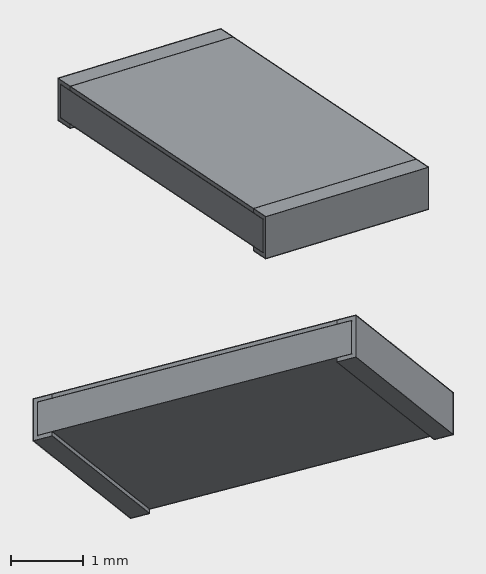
import cadquery as cq

LENGTH = 5.1
WIDTH = 2.7
HEIGHT = 0.65

CAP_THICKNESS = 0.065
CAP_REACH = 0.3

CORE_LENGTH = LENGTH - 2 * CAP_THICKNESS
CORE_HEIGHT = HEIGHT - 2 * CAP_THICKNESS
COATING_LENGTH = LENGTH - 2 * CAP_REACH


def make_core():
    """Flat ceramic block, centred on the origin."""
    return cq.Workplane("XY").box(CORE_LENGTH, WIDTH, CORE_HEIGHT)


def make_coating():
    """Cover layer on top of the core, filling the space between the caps."""
    layer = cq.Workplane("XY").box(COATING_LENGTH, WIDTH, CAP_THICKNESS)
    return layer.translate((0, 0, (CORE_HEIGHT + CAP_THICKNESS) / 2))


def make_end_cap(side):
    """C-shaped cap wrapped around one end of the core; side is -1 or +1 along X."""
    block = cq.Workplane("XY").box(CAP_REACH, WIDTH, HEIGHT)
    block = block.translate((side * (LENGTH - CAP_REACH) / 2, 0, 0))
    return block.cut(make_core())


core = make_core()
coating = make_coating()
end_caps = [make_end_cap(side) for side in (-1, 1)]

result = cq.Compound.makeCompound([core.val(), coating.val(), *[cap.val() for cap in end_caps]])